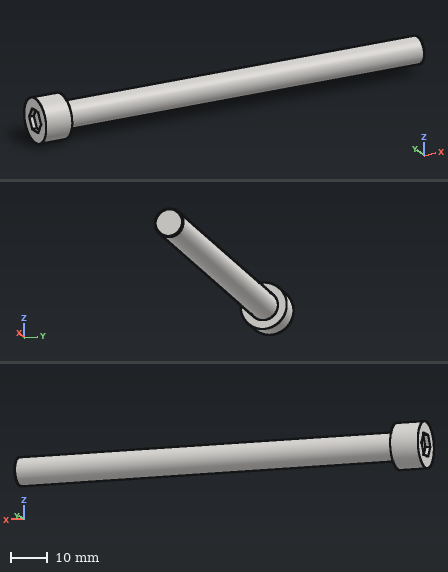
import cadquery as cq
import math

total_length = 118.0
head_diameter = 13.0
shank_diameter = 8.0
head_length = shank_diameter
tip_chamfer = 0.3
socket_across_flats = 6.0
socket_depth = 1.4

head_face_x = -total_length / 2
shank_length = total_length - head_length


def cylinder_along_x(start_x, diameter, length):
    return cq.Workplane("YZ", origin=(start_x, 0, 0)).circle(diameter / 2).extrude(length)


head = cylinder_along_x(head_face_x, head_diameter, head_length)

shank = cylinder_along_x(head_face_x + head_length, shank_diameter, shank_length)
shank = shank.faces(">X").chamfer(tip_chamfer)

socket_across_corners = socket_across_flats / math.cos(math.pi / 6)
socket = (
    cq.Workplane("YZ", origin=(head_face_x, 0, 0))
    .polygon(6, socket_across_corners)
    .extrude(socket_depth)
)

result = head.union(shank).cut(socket)